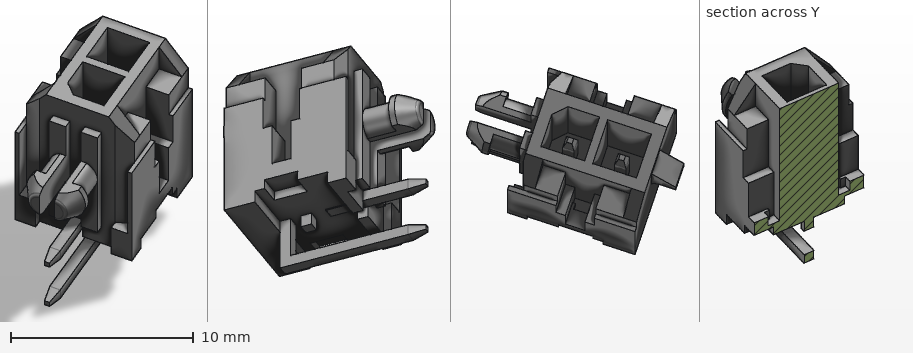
import cadquery as cq
import math


overall_height = 12.24
width = 7.15
wall_front = 0.49
depth_back = 7.36
tower_width = 3.84
tower_top = 9.88
shoulder_width = 6.63
shoulder_top = 8.21
plate_top = 6.72
front_width = 4.63
corner_back = 0.86
foot_top = 1.98

shelf_front = 1.5
shelf_back = 6.59
slot_middle = 3.9
upper_slot_length = 2.2
upper_slot_floor = 4.74
lower_slot_length = 1.13
lower_slot_floor = 2.25
pocket_floor = 1.59
pocket_tab_length = 0.81
pocket_tab_width = 5.29

tunnel_front = 1.13
tunnel_back = 5.51
tunnel_top = 0.72
relief_front = 2.94
relief_back = 4.92
relief_top = 1.3
stub_middle = 3.93

pitch = 2.99
front_row = 2.42
back_row = front_row + pitch
cavity_width = 2.57
cavity_length = 2.52
cavity_floor = 2.25
key_chamfer = 0.7
pin_size = 0.65
pin_tip_size = 0.3
pin_taper = 0.98
contact_top = 7.35
tail_tip = -3.21
front_tail_top = relief_top
back_tail_top = tower_top - overall_height + pin_size
back_leg_back = tunnel_back

latch_width = 1.41
latch_tip = 8.74
latch_ramp_top = 9.28
latch_tip_top = 7.69
latch_underside = 6.95
latch_arc_radius = 0.62

split_gap = 0.93
rib_width = 1.02
rib_bottom = 1.26
rib_top = 8.5
peg_height = 5.29
peg_flat_width = 1.98
peg_axis_offset = 0.39
shaft_radius = 1.08
barb_radius = 1.4
barb_back = -1.73
barb_front = -2.08
tip_radius = 0.73
tip_fillet = 0.25


def block(x_range, y_range, z_range):
    """Box spanning the given ranges."""
    (x0, x1), (y0, y1), (z0, z1) = x_range, y_range, z_range
    return cq.Workplane("XY").box(x1 - x0, y1 - y0, z1 - z0, centered=False).translate((x0, y0, z0))


def centred_block(x_width, y_range, z_range):
    """Box centred on X = 0."""
    return block((-x_width / 2, x_width / 2), y_range, z_range)


def both_sides(solid):
    """The solid together with its mirror image across X = 0."""
    return solid.union(solid.mirror("YZ"))


def around(middle, length):
    """Range of the given length about its middle."""
    return (middle - length / 2, middle + length / 2)


def square_pin(tip_centre, direction, length):
    """Square pin with a tapered end, running back from its tip along the direction."""
    back = cq.Vector(*direction).multiply(-1)
    start = cq.Vector(*tip_centre)
    x_axis = cq.Vector(1, 0, 0)
    tip = (
        cq.Workplane(cq.Plane(start, x_axis, back))
        .rect(pin_tip_size, pin_tip_size)
        .workplane(offset=pin_taper)
        .rect(pin_size, pin_size)
        .loft()
    )
    shank_start = start + back.multiply(pin_taper)
    shank = (
        cq.Workplane(cq.Plane(shank_start, x_axis, back))
        .rect(pin_size, pin_size)
        .extrude(length - pin_taper)
    )
    return tip.union(shank)


def make_shell():
    """Outer housing: chamfered tower with angled front corners, side plates and feet."""
    tower = (
        cq.Workplane("XZ")
        .polyline([
            (-shoulder_width / 2, 0),
            (-shoulder_width / 2, shoulder_top),
            (-tower_width / 2, tower_top),
            (tower_width / 2, tower_top),
            (shoulder_width / 2, shoulder_top),
            (shoulder_width / 2, 0),
        ])
        .close()
        .extrude(-(depth_back - wall_front))
        .translate((0, wall_front, 0))
    )
    corner = (
        cq.Workplane("XY")
        .polyline([
            (front_width / 2, wall_front),
            (width, wall_front),
            (width, corner_back),
            (shoulder_width / 2, corner_back),
        ])
        .close()
        .extrude(tower_top)
    )
    plate = block((shoulder_width / 2, width / 2), (0, depth_back), (0, plate_top))
    foot = block((front_width / 2, width / 2), (0, corner_back), (0, foot_top))
    return tower.cut(both_sides(corner)).union(both_sides(plate.union(foot)))


def make_side_recess():
    """Shelf behind the shoulder, the stepped slot below it and the pocket in the slot floor."""
    inner = tower_width / 2
    outer = width / 2
    shelf = block((inner, outer), (shelf_front, shelf_back), (shoulder_top, tower_top))
    upper = block((inner, outer), around(slot_middle, upper_slot_length), (upper_slot_floor, tower_top))
    lower = block((inner, outer), around(slot_middle, lower_slot_length), (lower_slot_floor, tower_top))
    pocket_z = (pocket_floor, lower_slot_floor)
    pocket = block((inner, front_width / 2), around(slot_middle, lower_slot_length), pocket_z)
    tab = block((inner, pocket_tab_width / 2), around(slot_middle, pocket_tab_length), pocket_z)
    return shelf.union(upper).union(lower).union(pocket).union(tab)


def make_underside_cut():
    """Cross tunnel under the housing, a relief at each side and the notch for the front tail."""
    tunnel = centred_block(width, (tunnel_front, tunnel_back), (0, tunnel_top))
    relief = block((front_width / 2, width / 2), (relief_front, relief_back), (0, relief_top))
    notch = centred_block(pin_size, (wall_front, tunnel_front), (0, front_tail_top))
    return tunnel.union(both_sides(relief)).union(notch)


def make_cavities():
    """Two contact cavities; the front one has a keying corner."""
    cavity_z = (cavity_floor, tower_top)
    back = centred_block(cavity_width, around(back_row, cavity_length), cavity_z)
    front = centred_block(cavity_width, around(front_row, cavity_length), cavity_z)
    front = front.edges("|Z and <X and <Y").chamfer(key_chamfer)
    return back.union(front)


def make_latch():
    """Ramped latch on the back wall with a concave arc under its root."""
    arc_end_z = latch_underside - latch_arc_radius
    diagonal = latch_arc_radius / math.sqrt(2)
    return (
        cq.Workplane("YZ")
        .moveTo(depth_back, latch_ramp_top)
        .lineTo(latch_tip, latch_tip_top)
        .lineTo(latch_tip, latch_underside)
        .lineTo(depth_back + latch_arc_radius, latch_underside)
        .threePointArc(
            (depth_back + latch_arc_radius - diagonal, arc_end_z + diagonal),
            (depth_back, arc_end_z),
        )
        .close()
        .extrude(latch_width / 2, both=True)
    )


def make_prong():
    """One barbed half of the split board peg, on the +X side."""
    turned = (
        cq.Workplane("XY")
        .polyline([
            (0, 0),
            (shaft_radius, 0),
            (shaft_radius, barb_back),
            (barb_radius, barb_back),
            (barb_radius, barb_front),
            (tip_radius, tail_tip),
            (0, tail_tip),
        ])
        .close()
        .revolve(360, (0, 0), (0, 1))
        .faces("<Y")
        .edges()
        .fillet(tip_fillet)
        .translate((peg_axis_offset, 0, peg_height))
    )
    envelope = block((split_gap / 2, width / 2), (tail_tip, 0), around(peg_height, peg_flat_width))
    return turned.intersect(envelope)


def make_rib():
    """Guide rib on the front wall that carries a peg prong, on the +X side."""
    inner = split_gap / 2
    return block((inner, inner + rib_width), (0, wall_front), (rib_bottom, rib_top))


def make_terminals():
    """Two bent terminals: upright contacts in the cavities and tails toward -Y."""
    half = pin_size / 2
    contact_root = front_tail_top - pin_size
    front_tail_z = front_tail_top - half
    back_tail_z = back_tail_top - half
    front_tail = square_pin((0, tail_tip, front_tail_z), (0, -1, 0), front_row + half - tail_tip)
    back_tail = square_pin((0, tail_tip, back_tail_z), (0, -1, 0), back_leg_back - tail_tip)
    back_leg_y = (back_leg_back - pin_size, back_leg_back)
    terminals = front_tail.union(back_tail)
    terminals = terminals.union(centred_block(pin_size, back_leg_y, (back_tail_z, cavity_floor)))
    contacts = {front_row: contact_root, back_row: tunnel_top}
    for row, root in contacts.items():
        terminals = terminals.union(square_pin((0, row, contact_top), (0, 0, 1), contact_top - root))
    return terminals


housing = make_shell().cut(make_cavities())
housing = housing.cut(both_sides(make_side_recess())).cut(make_underside_cut())
stub = centred_block(pin_size, around(stub_middle, pin_size), (0, cavity_floor))

result = (
    housing
    .union(stub)
    .union(make_latch())
    .union(both_sides(make_rib().union(make_prong())))
    .union(make_terminals())
)